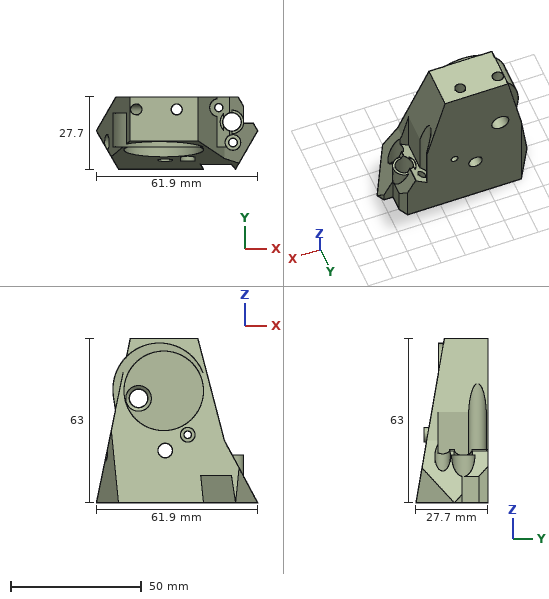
import cadquery as cq
import math

WIDTH = 61.85
DEPTH = 27.7
HEIGHT = 63.0
TOOL = 189.0

POINT_Y = 14.75
PLAN_TAPER = math.tan(math.radians(30))
TOP_LEFT_X = 13.0
TOP_RIGHT_X = 38.95
WAIST_X = 49.15
WAIST_Z = 23.8
FRONT_LEAN = 10.9
CORNER_NOTCH_X = 56.45
CORNER_NOTCH_Y = 17.7

RING_X = 24.2
RING_Z = 43.35
BORE_Z = 42.9
RING_RADIUS = 17.9
RING_FRONT_Y = 8.6
RING_BACK_Y = 21.55
RING_FLAT_TOP_Z = 40.45
RING_FLAT_BOTTOM_Z = 35.55
BORE_X = 25.8
BORE_DIAMETER = 30.5
BORE_FLOOR_Y = 19.65
FLOOR_HOLE_X = 16.2
FLOOR_HOLE_Z = 40.0
FLOOR_HOLE_DIAMETER = 7.0
FLOOR_HOLE_RIM_DIAMETER = 9.8

NOZZLE_X = 35.0
NOZZLE_Z = 26.1
NOZZLE_DIAMETER = 5.6
NOZZLE_HOLE_DIAMETER = 2.8
NOZZLE_FRONT_Y = 3.1
NOZZLE_ROOT_Y = 6.3
CROSS_HOLE_X = 26.4
CROSS_HOLE_Z = 20.05
CROSS_HOLE_DIAMETER = 5.5

TOP_HOLE_DIAMETER = 4.1
TOP_HOLE_Y = 22.95
STRAIGHT_HOLE_X = 30.8
TILTED_HOLE_X = 15.3
TILTED_HOLE_ANGLE = 20.0
TILTED_HOLE_DEPTH = 18.9
SIDE_HOLE_X = 4.1
SIDE_HOLE_Y = 10.3
SIDE_HOLE_Z = 19.8
SIDE_HOLE_DIAMETER = 6.0
SIDE_HOLE_ANGLE = 32.0
SIDE_HOLE_DEPTH = 12.6

POST_X = 52.0
POST_Y = 18.15
POST_TOP_Z = 18.4
POST_DIAMETER = 9.0
POST_HOLE_DIAMETER = 7.0
POCKET_LEFT_X = 46.3
POCKET_RIGHT_X = 50.95
POCKET_FRONT_Y = 8.45
POCKET_TILT = 35.0
POST_EXPOSED_X = 48.8
SPOT_X = 46.95
SPOT_Y = 23.6
SPOT_DIAMETER = 7.0
SPOT_HOLE_DIAMETER = 3.0
SCREW_X = 52.35
SCREW_Y = 10.3
SCREW_HEAD_DIAMETER = 6.0
SCREW_HOLE_DIAMETER = 3.2
SCREW_SEAT_Z = 7.55

NOTCH_LEFT_X = 41.1
NOTCH_BACK_Y = 16.4
NOTCH_HEIGHT = 10.4
NOTCH_LEFT_ANGLE = 31.0
NOTCH_RIGHT_ANGLE = 41.0


def left_side_x(z):
    return TOP_LEFT_X * z / HEIGHT


def along_y(x, z, diameter, front_y, back_y):
    """Cylinder along y."""
    plane = cq.Workplane("XZ", origin=(0, front_y, 0))
    return plane.center(x, z).circle(diameter / 2).extrude(front_y - back_y)


def along_z(x, y, diameter, bottom_z, top_z):
    """Cylinder along z."""
    plane = cq.Workplane("XY", origin=(x, y, bottom_z))
    return plane.circle(diameter / 2).extrude(top_z - bottom_z)


def tilted_hole(x, y, z, diameter, angle, depth):
    """Blind hole going down and to the right, with `angle` measured from vertical."""
    tilt = math.radians(angle)
    down = cq.Vector(math.sin(tilt), 0, -math.cos(tilt))
    above = cq.Vector(x, y, z) - down * diameter
    return cq.Workplane(cq.Solid.makeCylinder(diameter / 2, depth + diameter, above, down))


def body():
    front_setback = POINT_Y * PLAN_TAPER
    back_setback = (DEPTH - POINT_Y) * PLAN_TAPER
    plan = [
        (0, POINT_Y),
        (front_setback, 0),
        (WIDTH - front_setback, 0),
        (WIDTH, POINT_Y),
        (WIDTH - back_setback, DEPTH),
        (back_setback, DEPTH),
    ]
    elevation = [
        (0, 0),
        (WIDTH, 0),
        (WAIST_X, WAIST_Z),
        (TOP_RIGHT_X, HEIGHT),
        (TOP_LEFT_X, HEIGHT),
    ]
    profile = [(0, 0), (DEPTH, 0), (DEPTH, HEIGHT), (FRONT_LEAN, HEIGHT)]
    block = cq.Workplane("XY").polyline(plan).close().extrude(HEIGHT)
    block = block.intersect(cq.Workplane("XZ").polyline(elevation).close().extrude(-DEPTH))
    return block.intersect(cq.Workplane("YZ").polyline(profile).close().extrude(WIDTH))


def corner_notch():
    corner = cq.Workplane("XY", origin=(CORNER_NOTCH_X, CORNER_NOTCH_Y, 0))
    return corner.rect(TOOL, TOOL, centered=False).extrude(HEIGHT)


def ring():
    """Round boss with a flat that runs from its lower left into the left side."""
    boss = along_y(RING_X, RING_Z, 2 * RING_RADIUS, RING_FRONT_Y, RING_BACK_Y)
    drop = RING_Z - RING_FLAT_TOP_Z
    flat_top_x = RING_X - math.sqrt(RING_RADIUS**2 - drop**2)
    flat = [
        (RING_X, RING_FLAT_TOP_Z),
        (flat_top_x, RING_FLAT_TOP_Z),
        (left_side_x(RING_FLAT_BOTTOM_Z), RING_FLAT_BOTTOM_Z),
        (RING_X, RING_FLAT_BOTTOM_Z),
    ]
    plane = cq.Workplane("XZ", origin=(0, RING_FRONT_Y, 0))
    return boss.union(plane.polyline(flat).close().extrude(RING_FRONT_Y - RING_BACK_Y))


def floor_hole():
    """Through hole in the bore floor with a 45 degree countersink."""
    hole = along_y(FLOOR_HOLE_X, FLOOR_HOLE_Z, FLOOR_HOLE_DIAMETER, BORE_FLOOR_Y, DEPTH)
    rim_radius = FLOOR_HOLE_RIM_DIAMETER / 2
    hole_radius = FLOOR_HOLE_DIAMETER / 2
    rim_center = cq.Vector(FLOOR_HOLE_X, BORE_FLOOR_Y, FLOOR_HOLE_Z)
    sink_depth = rim_radius - hole_radius
    sink = cq.Solid.makeCone(rim_radius, hole_radius, sink_depth, rim_center, cq.Vector(0, 1, 0))
    return hole.union(cq.Workplane(sink))


def shoulder_pocket():
    """Pocket with a tilted floor, open to the back, with a round lobe around the spot hole."""
    rise = math.tan(math.radians(POCKET_TILT))

    def floor_z(x):
        return POST_TOP_Z + (x - POST_EXPOSED_X) * rise

    lobe_left_x = SPOT_X - SPOT_DIAMETER
    above_floor = [
        (lobe_left_x, floor_z(lobe_left_x)),
        (POCKET_RIGHT_X, floor_z(POCKET_RIGHT_X)),
        (POCKET_RIGHT_X, HEIGHT),
        (lobe_left_x, HEIGHT),
    ]
    length = POCKET_RIGHT_X - POCKET_LEFT_X
    corner = cq.Workplane("XY", origin=(POCKET_LEFT_X, POCKET_FRONT_Y, 0))
    outline = corner.rect(length, DEPTH - POCKET_FRONT_Y, centered=False).extrude(HEIGHT)
    outline = outline.union(along_z(SPOT_X, SPOT_Y, SPOT_DIAMETER, 0, HEIGHT))
    return outline.intersect(cq.Workplane("XZ").polyline(above_floor).close().extrude(-DEPTH))


def bottom_notch():
    """Slot under the front edge, between two upright slanted walls."""
    right_x = WIDTH - POINT_Y * PLAN_TAPER
    left_shift = NOTCH_BACK_Y * math.tan(math.radians(NOTCH_LEFT_ANGLE))
    right_shift = NOTCH_BACK_Y * math.tan(math.radians(NOTCH_RIGHT_ANGLE))
    outline = [
        (NOTCH_LEFT_X, 0),
        (right_x, 0),
        (right_x - right_shift, NOTCH_BACK_Y),
        (NOTCH_LEFT_X - left_shift, NOTCH_BACK_Y),
    ]
    return cq.Workplane("XY").polyline(outline).close().extrude(NOTCH_HEIGHT)


result = body().cut(corner_notch()).union(ring())

result = result.cut(along_y(BORE_X, BORE_Z, BORE_DIAMETER, 0, BORE_FLOOR_Y))
result = result.cut(floor_hole())

result = result.union(along_y(NOZZLE_X, NOZZLE_Z, NOZZLE_DIAMETER, NOZZLE_FRONT_Y, NOZZLE_ROOT_Y))
result = result.cut(along_y(NOZZLE_X, NOZZLE_Z, NOZZLE_HOLE_DIAMETER, 0, DEPTH))
result = result.cut(along_y(CROSS_HOLE_X, CROSS_HOLE_Z, CROSS_HOLE_DIAMETER, 0, DEPTH))

result = result.cut(shoulder_pocket())
result = result.union(along_z(POST_X, POST_Y, POST_DIAMETER, 0, POST_TOP_Z))
result = result.cut(along_z(POST_X, POST_Y, POST_HOLE_DIAMETER, 0, HEIGHT))
result = result.cut(along_z(SPOT_X, SPOT_Y, SPOT_HOLE_DIAMETER, 0, HEIGHT))
result = result.cut(along_z(SCREW_X, SCREW_Y, SCREW_HOLE_DIAMETER, 0, HEIGHT))
result = result.cut(along_z(SCREW_X, SCREW_Y, SCREW_HEAD_DIAMETER, SCREW_SEAT_Z, HEIGHT))

result = result.cut(along_z(STRAIGHT_HOLE_X, TOP_HOLE_Y, TOP_HOLE_DIAMETER, 0, HEIGHT))
result = result.cut(
    tilted_hole(
        TILTED_HOLE_X, TOP_HOLE_Y, HEIGHT, TOP_HOLE_DIAMETER, TILTED_HOLE_ANGLE, TILTED_HOLE_DEPTH
    )
)
result = result.cut(
    tilted_hole(
        SIDE_HOLE_X, SIDE_HOLE_Y, SIDE_HOLE_Z, SIDE_HOLE_DIAMETER, SIDE_HOLE_ANGLE, SIDE_HOLE_DEPTH
    )
)

result = result.cut(bottom_notch())